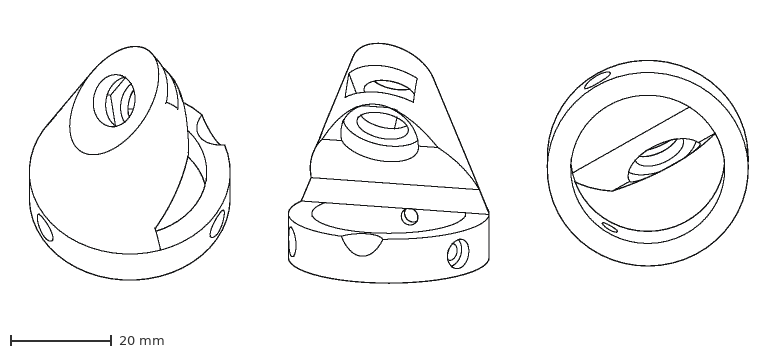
import cadquery as cq
import math

ring_diameter = 40.0
ring_bore = 30.6
ring_height = 9.05

total_height = 45.45
cone_slope = 0.4
ring_radius = ring_diameter / 2
tip_radius = ring_radius - cone_slope * (total_height - ring_height)

face_level = total_height - tip_radius
nut_slot_top = 34.2
nut_slot_bottom = 27.25
underside_level = 18.7

rear_wall_y = -4.72
back_edge_z = 34.05
back_edge_y = ring_radius - cone_slope * (back_edge_z - ring_height)
back_slope = 0.4

bolt_hole_diameter = 10.4
bolt_axis_level = 32.7
nut_width = 14.1
recess_diameter = 15.9
recess_level = 23.75

screw_diameter = 3.4
screw_head_diameter = 5.9
screw_head_depth = 2.25
screw_angles = (30, 150, 270)

clearance = 2 * ring_diameter


def inclined_plane(level):
    """Plane parallel to the sloped face, centred on the bolt axis, local y pointing uphill."""
    y = (bolt_axis_level - level) / 2
    return cq.Plane(origin=(0, y, y + level), xDir=(1, 0, 0), normal=(0, -1, 1))


def side_prism(points):
    """Prism across the full width of the part from (y, z) corners."""
    return cq.Workplane("YZ").polyline(points).close().extrude(clearance, both=True)


def make_cone():
    profile = [
        (0, ring_height),
        (ring_radius, ring_height),
        (tip_radius, total_height),
        (0, total_height),
    ]
    cone = cq.Workplane("XZ").polyline(profile).close().revolve(360, (0, 0), (0, 1))
    above_face = cq.Workplane(inclined_plane(face_level)).rect(clearance, clearance).extrude(clearance)
    return cone.cut(above_face)


def make_rear_opening():
    edge_drop = (back_edge_z - back_edge_y - underside_level) / (1 - back_slope)
    return side_prism([
        (rear_wall_y, ring_height),
        (rear_wall_y, rear_wall_y + underside_level),
        (back_edge_y - back_slope * edge_drop, back_edge_z - edge_drop),
        (back_edge_y, back_edge_z),
        (ring_diameter, back_edge_z),
        (ring_diameter, ring_height),
    ])


def make_nut_slot():
    """Pointed hexagon end, open uphill through the back of the cone."""
    half_width = nut_width / 2
    corner_radius = nut_width / math.sqrt(3)
    thickness = (nut_slot_top - nut_slot_bottom) / math.sqrt(2)
    return (
        cq.Workplane(inclined_plane(nut_slot_bottom))
        .moveTo(0, -corner_radius)
        .lineTo(half_width, -corner_radius / 2)
        .lineTo(half_width, ring_diameter)
        .lineTo(-half_width, ring_diameter)
        .lineTo(-half_width, -corner_radius / 2)
        .close()
        .extrude(thickness)
    )


def make_bolt_hole():
    """Inclined hole that also notches the rear top edge of the ring."""
    return (
        cq.Workplane(inclined_plane(face_level))
        .circle(bolt_hole_diameter / 2)
        .extrude(-clearance)
    )


def make_recess():
    """Round recess below the nut seat, open through the inclined underside."""
    depth = (recess_level - underside_level) / math.sqrt(2)
    return (
        cq.Workplane(inclined_plane(recess_level))
        .circle(recess_diameter / 2)
        .extrude(-depth)
    )


def make_screw_hole(angle):
    direction = cq.Vector(math.cos(math.radians(angle)), math.sin(math.radians(angle)), 0)
    mid_height = cq.Vector(0, 0, ring_height / 2)
    head_floor = direction * (ring_radius - screw_head_depth) + mid_height
    shank = cq.Solid.makeCylinder(screw_diameter / 2, ring_radius, mid_height, direction)
    head = cq.Solid.makeCylinder(screw_head_diameter / 2, ring_radius, head_floor, direction)
    return shank.fuse(head)


ring = cq.Workplane("XY").circle(ring_radius).circle(ring_bore / 2).extrude(ring_height)
body = make_cone().cut(make_rear_opening()).cut(make_nut_slot()).cut(make_recess())

result = ring.union(body).cut(make_bolt_hole())
for screw_angle in screw_angles:
    result = result.cut(cq.Workplane(make_screw_hole(screw_angle)))